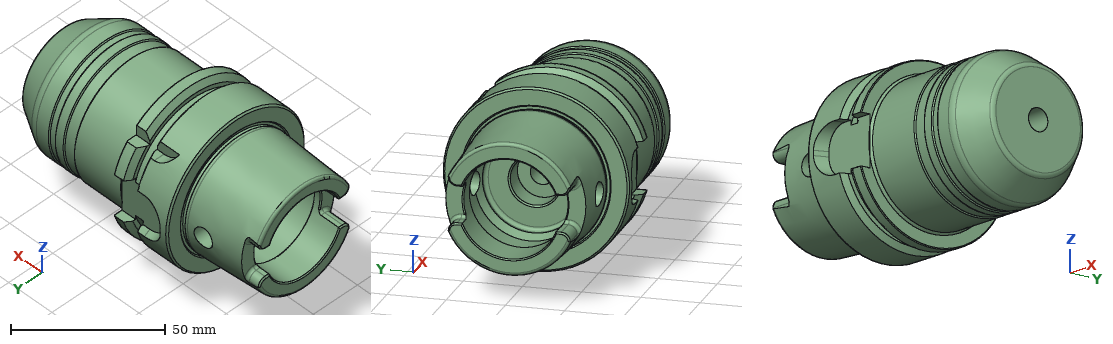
import cadquery as cq
import math


total_length = 112.0
taper_end = 29.7
neck_relief_start = 30.8
flange_start = 31.7
grip_groove_start = 46.7
grip_floor_start = 48.0
grip_floor_end = 51.5
grip_groove_end = 53.3
flange_end = 57.8
body_start = 58.8

flange_radius = 31.5
tip_radius = 22.7
neck_radius = 24.2
neck_relief_depth = 0.2
grip_wall_radius = 29.1
grip_floor_radius = 27.4
body_radius = 26.1
body_collar_radius = 26.9

tip_edge_radius = 1.1
flange_chamfer = 0.7
lip_chamfer = 0.3

face_relief_radius = 25.4
face_relief_depth = 0.5

nose_angle = math.radians(30)
nose_blend_start = 97.9
nose_blend_radius = 5.6
nose_edge_radius = 2.0

ring_grooves = [(80.2, 85.5), (89.0, 92.3)]
ring_groove_depth = 0.5

bore_radius = 17.0
bore_depth = 30.2
bore_edge_chamfer = 0.5
bore_floor_fillet = 1.3
clamp_lip_end = 12.9
clamp_lip_angle = math.radians(60)
clamp_radius = 18.5
clamp_return_start = 24.1
clamp_return_angle = math.radians(20)
tube_bore_radius = 8.4
tube_bore_depth = 9.0
tube_bore_chamfer = 0.6
through_radius = 4.0

cross_hole_x = {-1: 23.3, 1: 22.7}
cross_hole_radius = 4.0

tip_slot_half_width = 6.3
tip_slot_depths = {-1: 9.9, 1: 5.8}
tip_slot_shoulder_y = 20.6
tip_slot_corner_radius = 3.0
tip_slot_floor_fillet = 1.2
tip_slot_edge_chamfer = 0.6

keyway_half_width = 9.1
keyway_floor_y = 26.4
keyway_floor_start = 36.7
keyway_top_start = 35.0
keyway_corner_radius = 8.2
keyway_overcut = 1.1

notch_offset = 19.9
notch_run_out_x = 44.9
notch_cutter_radius = 8.0


def turned_body():
    """Outer shape, revolved about X."""
    sin_a = math.sin(nose_angle)
    cos_a = math.cos(nose_angle)
    tip_mid_angle = math.radians(45)

    blend_end_x = nose_blend_start + nose_blend_radius * sin_a
    blend_end_r = body_radius - nose_blend_radius * (1 - cos_a)
    blend_mid_x = nose_blend_start + nose_blend_radius * math.sin(nose_angle / 2)
    blend_mid_r = body_radius - nose_blend_radius * (1 - math.cos(nose_angle / 2))

    edge_center_x = total_length - nose_edge_radius
    edge_start_x = edge_center_x + nose_edge_radius * sin_a
    edge_start_r = blend_end_r - (edge_start_x - blend_end_x) * math.tan(nose_angle)
    edge_center_r = edge_start_r - nose_edge_radius * cos_a
    edge_mid_angle = (math.pi / 2 - nose_angle) / 2
    edge_mid = (
        edge_center_x + nose_edge_radius * math.cos(edge_mid_angle),
        edge_center_r + nose_edge_radius * math.sin(edge_mid_angle),
    )

    tip_mid = (
        tip_edge_radius * (1 - math.cos(tip_mid_angle)),
        tip_radius - tip_edge_radius * (1 - math.sin(tip_mid_angle)),
    )
    profile = (
        cq.Workplane("XY")
        .moveTo(0, 0)
        .lineTo(0, tip_radius - tip_edge_radius)
        .threePointArc(tip_mid, (tip_edge_radius, tip_radius))
        .lineTo(taper_end, neck_radius)
        .lineTo(neck_relief_start, neck_radius)
        .lineTo(neck_relief_start + neck_relief_depth, neck_radius - neck_relief_depth)
        .lineTo(flange_start + face_relief_depth, neck_radius - neck_relief_depth)
        .lineTo(flange_start + face_relief_depth, face_relief_radius - face_relief_depth)
        .lineTo(flange_start, face_relief_radius)
        .lineTo(flange_start, flange_radius - flange_chamfer)
        .lineTo(flange_start + flange_chamfer, flange_radius)
        .lineTo(grip_groove_start, flange_radius)
        .lineTo(grip_floor_start, grip_wall_radius)
        .lineTo(grip_floor_start, grip_floor_radius)
        .lineTo(grip_floor_end, grip_floor_radius)
        .lineTo(grip_floor_end, grip_wall_radius)
        .lineTo(grip_groove_end, flange_radius)
        .lineTo(flange_end - lip_chamfer, flange_radius)
        .lineTo(flange_end, flange_radius - lip_chamfer)
        .lineTo(flange_end, body_collar_radius)
        .lineTo(body_start, body_radius)
        .lineTo(nose_blend_start, body_radius)
        .threePointArc((blend_mid_x, blend_mid_r), (blend_end_x, blend_end_r))
        .lineTo(edge_start_x, edge_start_r)
        .threePointArc(edge_mid, (total_length, edge_center_r))
        .lineTo(total_length, 0)
        .close()
    )
    return profile.revolve(360, (0, 0, 0), (1, 0, 0))


def ring_groove(start, end):
    """Shallow groove around the body with 45-degree flanks."""
    floor_radius = body_radius - ring_groove_depth
    section = [
        (start, body_radius),
        (start + ring_groove_depth, floor_radius),
        (end - ring_groove_depth, floor_radius),
        (end, body_radius),
    ]
    return cq.Workplane("XY").polyline(section).close().revolve(360, (0, 0, 0), (1, 0, 0))


def bore_edge(x):
    """Cone that breaks the bore edge on a flat face at X = x."""
    return (
        cq.Workplane("YZ", origin=(x, 0, 0))
        .circle(bore_radius + bore_edge_chamfer)
        .extrude(bore_edge_chamfer, taper=45)
    )


def bore():
    """Stepped bore: hollow shank, tube seat and through hole."""
    shank = cq.Workplane("YZ").circle(bore_radius).extrude(bore_depth)
    shank = shank.faces(">X").edges().fillet(bore_floor_fillet)
    clamp_step = clamp_radius - bore_radius
    lip_length = clamp_step / math.tan(clamp_lip_angle)
    return_length = clamp_step / math.tan(clamp_return_angle)
    clamp_section = [
        (clamp_lip_end, 0),
        (clamp_lip_end, bore_radius),
        (clamp_lip_end + lip_length, clamp_radius),
        (clamp_return_start, clamp_radius),
        (clamp_return_start + return_length, bore_radius),
        (clamp_return_start + return_length, 0),
    ]
    clamp_recess = (
        cq.Workplane("XY").polyline(clamp_section).close().revolve(360, (0, 0, 0), (1, 0, 0))
    )
    bore_floor = cq.Workplane("YZ", origin=(bore_depth, 0, 0))
    seat = bore_floor.circle(tube_bore_radius).extrude(tube_bore_depth)
    seat_edge = (
        bore_floor
        .circle(tube_bore_radius + tube_bore_chamfer)
        .extrude(tube_bore_chamfer, taper=45)
    )
    through = cq.Workplane("YZ").circle(through_radius).extrude(total_length)
    return shank.union(bore_edge(0)).union(clamp_recess).union(seat).union(seat_edge).union(through)


def tip_slot_outline(growth, x):
    """Closed slot outline at X = x, widened all round by growth."""
    half = tip_slot_half_width + growth
    shoulder_y = tip_slot_shoulder_y - growth
    radius = tip_slot_corner_radius - growth
    arc_start_y = shoulder_y - radius
    arc_end_z = half + radius
    mid_y = arc_start_y + radius * math.sin(math.pi / 4)
    mid_z = half + radius * (1 - math.cos(math.pi / 4))
    return (
        cq.Workplane("YZ", origin=(x, 0, 0))
        .moveTo(0, half)
        .lineTo(arc_start_y, half)
        .threePointArc((mid_y, mid_z), (shoulder_y, arc_end_z))
        .lineTo(shoulder_y, flange_radius)
        .lineTo(flange_radius, flange_radius)
        .lineTo(flange_radius, -flange_radius)
        .lineTo(shoulder_y, -flange_radius)
        .lineTo(shoulder_y, -arc_end_z)
        .threePointArc((mid_y, -mid_z), (arc_start_y, -half))
        .lineTo(0, -half)
        .close()
    )


def tip_slot(side):
    """Driving slot on one Y side; it flares around the rounded land corners."""
    depth = tip_slot_depths[side]
    slot = tip_slot_outline(0, 0).extrude(depth).faces(">X").edges().fillet(tip_slot_floor_fillet)

    front_edge = cq.Solid.makeLoft(
        [
            tip_slot_outline(tip_slot_edge_chamfer, 0).val(),
            tip_slot_outline(0, tip_slot_edge_chamfer).val(),
        ],
        True,
    )
    floor_width = 2 * (tip_slot_half_width - tip_slot_floor_fillet)
    floor_window = (
        cq.Workplane("XY")
        .box(total_length, flange_radius, floor_width, centered=(False, False, True))
    )
    cutter = slot.union(cq.Workplane(front_edge)).union(bore_edge(depth).intersect(floor_window))
    return cutter if side > 0 else cutter.mirror("XZ")


def keyway(side):
    """Flange keyway with rounded corners and a sloping end wall."""
    half = keyway_half_width
    radius = keyway_corner_radius
    flat_half = half - radius
    slope = (keyway_floor_start - keyway_top_start) / (flange_radius - keyway_floor_y)

    def outline(y):
        start = keyway_floor_start - slope * (y - keyway_floor_y)
        center_x = start + radius
        mid_x = center_x - radius * math.cos(math.pi / 4)
        mid_z = flat_half + radius * math.sin(math.pi / 4)
        sketch = (
            cq.Workplane("XZ", origin=(0, y, 0))
            .moveTo(flange_end, half)
            .lineTo(center_x, half)
            .threePointArc((mid_x, mid_z), (start, flat_half))
            .lineTo(start, -flat_half)
            .threePointArc((mid_x, -mid_z), (center_x, -half))
            .lineTo(flange_end, -half)
            .close()
        )
        return sketch.val()

    top_y = flange_radius + keyway_overcut
    cutter = cq.Workplane(cq.Solid.makeLoft([outline(keyway_floor_y), outline(top_y)], True))
    return cutter if side > 0 else cutter.mirror("XZ")


def orientation_notch():
    """Square corner cut at 45 degrees that runs out along the cutter radius."""
    reach = flange_radius - notch_offset
    channel = cq.Workplane("XY").box(flange_end - notch_run_out_x, reach, reach, centered=False)
    channel = channel.translate((notch_run_out_x, notch_offset, notch_offset))
    run_out = cq.Workplane(
        cq.Solid.makeCylinder(
            notch_cutter_radius,
            reach,
            cq.Vector(notch_run_out_x, notch_offset, notch_offset + notch_cutter_radius),
            cq.Vector(0, 1, 0),
        )
    )
    return channel.union(run_out)


def cross_hole(side):
    """Radial hole from the bore outwards on one Y side."""
    return cq.Workplane(
        cq.Solid.makeCylinder(
            cross_hole_radius,
            flange_radius,
            cq.Vector(cross_hole_x[side], 0, 0),
            cq.Vector(0, side, 0),
        )
    )


result = turned_body()
for groove_start, groove_end in ring_grooves:
    result = result.cut(ring_groove(groove_start, groove_end))
result = result.cut(bore())
for y_side in (-1, 1):
    result = result.cut(tip_slot(y_side))
    result = result.cut(cross_hole(y_side))
    result = result.cut(keyway(y_side))
result = result.cut(orientation_notch())